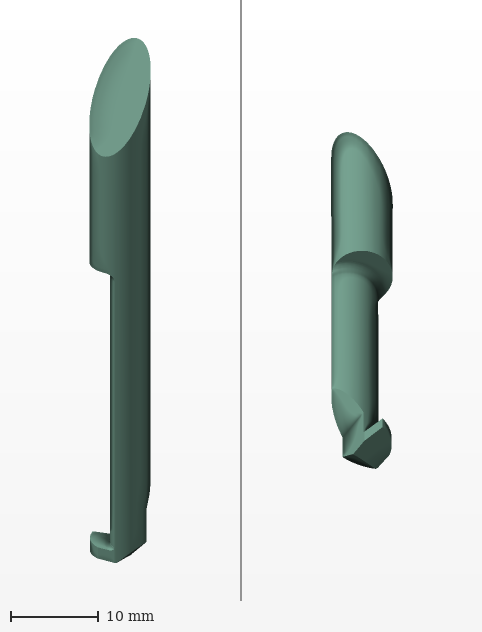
import cadquery as cq
import math

length = 63.3
shank_diameter = 7.0
bevel_angle = 30.0
shoulder_z = 36.5
neck_offset = 2.85
shoulder_fillet = 0.9
flat_y = 0.25
flat_top_z = 6.3
corner_chamfer = 2.15
head_height = 1.95
shelf_fillet = 0.45
relief_angle = 4.5
split_x = -0.8
head_front_y = -3.3
rake_drop = 0.65
tip_bulge = 0.6

radius = shank_diameter / 2
neck_corner_x = neck_offset / 2
neck_corner_y = -math.sqrt(radius**2 - neck_corner_x**2)
bevel_slope = math.tan(math.radians(bevel_angle))
relief_slope = math.tan(math.radians(relief_angle))


def make_shank():
    """Round bar with its upper end cut at a slant."""
    bar = cq.Workplane("XY").circle(radius).extrude(length)
    slant = (
        cq.Workplane("YZ")
        .moveTo(radius, length)
        .lineTo(-radius, length - shank_diameter / bevel_slope)
        .lineTo(-radius, length)
        .close()
        .extrude(radius, both=True)
    )
    return bar.cut(slant)


def neck_relief():
    """Ring around the shifted neck axis, rounded where it meets the shoulder."""
    outer = shank_diameter + neck_offset
    arc_inset = shoulder_fillet * (1 - math.sqrt(0.5))
    return (
        cq.Workplane("XZ")
        .moveTo(radius, 0)
        .lineTo(radius, shoulder_z - shoulder_fillet)
        .threePointArc(
            (radius + arc_inset, shoulder_z - arc_inset),
            (radius + shoulder_fillet, shoulder_z),
        )
        .lineTo(outer, shoulder_z)
        .lineTo(outer, 0)
        .close()
        .revolve(360, (0, 0), (0, 1))
        .translate((neck_offset, 0, 0))
    )


def flat_cut():
    """Removes the back of the lower neck, with a slanted run-out."""
    runout_z = flat_top_z + (radius - flat_y) / bevel_slope
    return (
        cq.Workplane("YZ")
        .moveTo(flat_y, 0)
        .lineTo(flat_y, flat_top_z)
        .lineTo(radius, runout_z)
        .lineTo(radius, 0)
        .close()
        .extrude(radius, both=True)
    )


def head_wedge():
    """Slab between the head's two relieved faces, thinning toward -Y."""
    front = -radius
    rise = (flat_y - front) * relief_slope
    return (
        cq.Workplane("YZ")
        .moveTo(flat_y, 0)
        .lineTo(flat_y, head_height)
        .lineTo(front, head_height - rise)
        .lineTo(front, rise)
        .close()
        .extrude(radius, both=True)
    )


def bottom_relief():
    """Wedge under the head that leaves its end face sloping."""
    return (
        cq.Workplane("YZ")
        .moveTo(flat_y, 0)
        .lineTo(-radius, (flat_y + radius) * relief_slope)
        .lineTo(-radius, 0)
        .close()
        .extrude(radius, both=True)
    )


def foot_prism(height):
    """Upright block over the footprint of the bar's foot."""
    return (
        cq.Workplane("XY")
        .moveTo(split_x, flat_y)
        .lineTo(split_x, head_front_y)
        .lineTo(neck_corner_x, neck_corner_y)
        .lineTo(neck_corner_x, flat_y)
        .close()
        .extrude(height)
    )


def make_shelf():
    """Foot of the bar that carries the cutting tip."""
    return foot_prism(head_height).intersect(head_wedge())


def shelf_blend():
    """Concave round between the neck and the shelf."""
    arc_inset = shelf_fillet * (1 - math.sqrt(0.5))
    ring = (
        cq.Workplane("XZ")
        .moveTo(radius - shelf_fillet, 0)
        .lineTo(radius - shelf_fillet, shelf_fillet)
        .lineTo(radius, shelf_fillet)
        .threePointArc((radius + arc_inset, arc_inset), (radius + shelf_fillet, 0))
        .close()
        .revolve(360, (0, 0), (0, 1))
        .translate((neck_offset, 0, 0))
    )
    tilted = ring.rotate((0, flat_y, 0), (1, flat_y, 0), relief_angle)
    return tilted.translate((0, 0, head_height)).intersect(foot_prism(flat_top_z))


def corner_cut():
    """Chamfer on the lower edge opposite the tip."""
    return (
        cq.Workplane("XZ")
        .moveTo(radius - corner_chamfer, 0)
        .lineTo(radius, corner_chamfer)
        .lineTo(radius, 0)
        .close()
        .extrude(radius, both=True)
    )


def make_bar():
    bar = make_shank().cut(neck_relief()).cut(flat_cut())
    bar = bar.cut(bottom_relief()).cut(corner_cut())
    return bar.union(make_shelf()).union(shelf_blend())


def make_tip():
    """Cutting tooth with a slanted cutting face and a bowed flank."""
    point_y = flat_y - rake_drop
    outline = (
        cq.Workplane("XY")
        .moveTo(split_x, flat_y)
        .lineTo(-radius, point_y)
        .sagittaArc((split_x, head_front_y), -tip_bulge)
        .close()
        .extrude(head_height)
    )
    return outline.intersect(head_wedge())


bar = make_bar()
tip = make_tip()
result = cq.Compound.makeCompound([bar.val(), tip.val()])